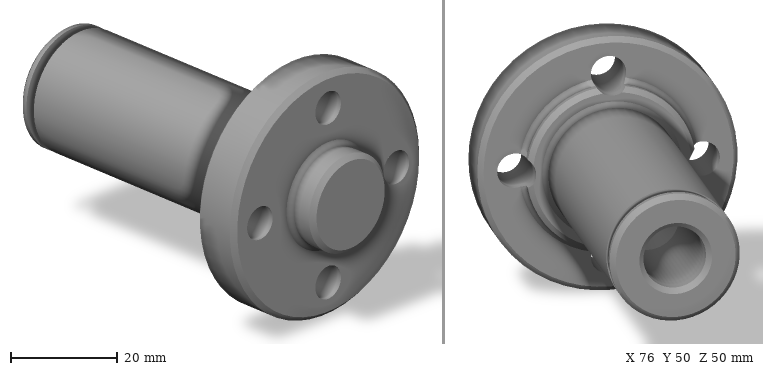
import cadquery as cq
import math

total_length = 76.0
edge = 1.0

shaft_radius = 25.0 / 2
flange_radius = 50.0 / 2
flange_thickness = 9.95
collar_radius = 32.5 / 2
collar_length = 3.4

pilot_radius = 20.0 / 2
pilot_length = 6.0

groove_radius = 20.0 / 2
groove_start = 2.0
groove_width = 2.0

bore_radius = 12.0 / 2
bore_depth = 25.0
drill_point_angle = 118.0

bolt_hole_diameter = 6.8
bolt_circle_radius = 18.0
bolt_hole_count = 4

flange_back = total_length - pilot_length
flange_front = flange_back - flange_thickness
collar_front = flange_front - collar_length


def revolve_about_x(points):
    """Revolve a closed (axial, radial) outline about the X axis."""
    return cq.Workplane("XY").polyline(points).close().revolve(360, (0, 0, 0), (1, 0, 0))


def make_body():
    groove_end = groove_start + groove_width
    return revolve_about_x([
        (0, 0),
        (0, shaft_radius - edge),
        (edge, shaft_radius),
        (groove_start, shaft_radius),
        (groove_start, groove_radius),
        (groove_end, groove_radius),
        (groove_end, shaft_radius),
        (collar_front - edge, shaft_radius),
        (collar_front, shaft_radius + edge),
        (collar_front, collar_radius - edge),
        (collar_front + edge, collar_radius),
        (flange_front - edge, collar_radius),
        (flange_front, collar_radius + edge),
        (flange_front, flange_radius - edge),
        (flange_front + edge, flange_radius),
        (flange_back - edge, flange_radius),
        (flange_back, flange_radius - edge),
        (flange_back, pilot_radius + edge),
        (flange_back + edge, pilot_radius),
        (total_length - edge, pilot_radius),
        (total_length, pilot_radius - edge),
        (total_length, 0),
    ])


def make_bore():
    point_length = bore_radius / math.tan(math.radians(drill_point_angle / 2))
    return revolve_about_x([
        (0, 0),
        (0, bore_radius + edge),
        (edge, bore_radius),
        (bore_depth, bore_radius),
        (bore_depth + point_length, 0),
    ])


def make_bolt_holes():
    """Holes spanning the collar and flange, which also notch the collar rim."""
    return (
        cq.Workplane("YZ", origin=(collar_front, 0, 0))
        .polarArray(bolt_circle_radius, 0, 360, bolt_hole_count)
        .circle(bolt_hole_diameter / 2)
        .extrude(collar_length + flange_thickness)
    )


result = make_body().cut(make_bore()).cut(make_bolt_holes())